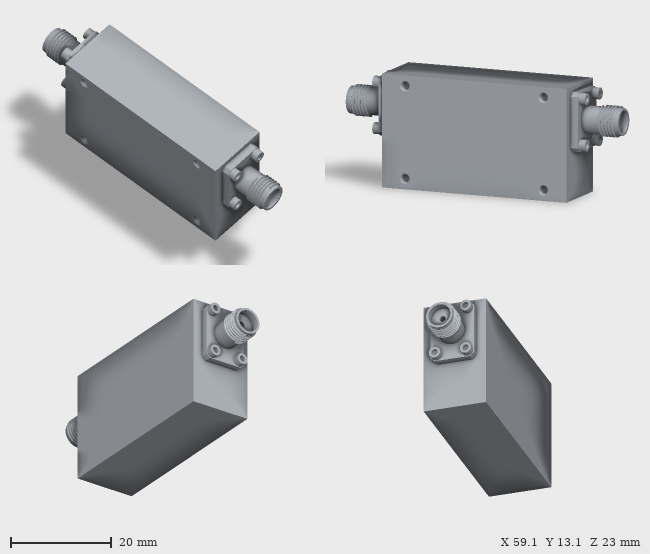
import cadquery as cq
import math

body_length = 40.0
body_depth = 13.08
body_height = 23.0

mount_spacing_x = 30.0
mount_spacing_z = 18.7
mount_diameter = 1.6
mount_mouth_diameter = 2.1
mount_depth = 5.0
drill_tip_angle = 118.0

overall_length = 59.05
connector_length = (overall_length - body_length) / 2
connector_drop = 7.1
barrel_diameter = 5.55
bore_diameter = 4.6
bore_depth = 2.0
contact_diameter = 1.27
contact_depth = 2.5

flange_width = 9.1
flange_height = 12.0
flange_thickness = 1.65
flange_chamfer = 0.8
screw_spacing_y = 6.5
screw_spacing_z = 9.4
screw_head_diameter = 2.35
screw_head_height = 1.4
socket_diameter = 1.3
socket_depth = 0.8

thread_diameter = 6.35
thread_root_diameter = 5.65
thread_pitch = 25.4 / 36
thread_turns = 5
thread_base_width = 0.55
thread_crest_width = 0.1
thread_root_margin = 0.17
thread_tip_gap = 0.86
thread_overlap = 0.1


def make_housing():
    block = cq.Workplane("XY").box(body_length, body_depth, body_height)
    return block.cut(make_mounting_holes())


def make_mounting_holes():
    """Four blind holes, each with a 45 degree mouth and a conical bottom."""
    radius = mount_diameter / 2
    mouth_radius = mount_mouth_diameter / 2
    tip_length = radius / math.tan(math.radians(drill_tip_angle / 2))
    drill = (
        cq.Workplane("XY")
        .lineTo(mouth_radius, 0)
        .lineTo(radius, mouth_radius - radius)
        .lineTo(radius, mount_depth)
        .lineTo(0, mount_depth + tip_length)
        .close()
        .revolve(360, (0, 0, 0), (0, 1, 0))
        .translate((0, -body_depth / 2, 0))
    )
    holes = cq.Workplane("XY")
    for x in (-mount_spacing_x / 2, mount_spacing_x / 2):
        for z in (-mount_spacing_z / 2, mount_spacing_z / 2):
            holes = holes.add(drill.translate((x, 0, z)))
    return holes.combine()


def make_flange():
    """Chamfered plate with four socket head screws, facing local +Z."""
    plate = (
        cq.Workplane("XY")
        .rect(flange_height, flange_width)
        .extrude(flange_thickness)
        .edges("|Z")
        .chamfer(flange_chamfer)
    )
    head_top = flange_thickness + screw_head_height
    heads = (
        cq.Workplane("XY", origin=(0, 0, flange_thickness))
        .rect(screw_spacing_z, screw_spacing_y, forConstruction=True)
        .vertices()
        .circle(screw_head_diameter / 2)
        .extrude(screw_head_height)
    )
    sockets = (
        cq.Workplane("XY", origin=(0, 0, head_top))
        .rect(screw_spacing_z, screw_spacing_y, forConstruction=True)
        .vertices()
        .circle(socket_diameter / 2)
        .extrude(-socket_depth)
    )
    return plate.union(heads).cut(sockets)


def make_thread():
    """Right-hand helical ridge of trapezoidal section on a root cylinder along local Z."""
    base_radius = thread_root_diameter / 2 - thread_overlap
    thread_length = thread_turns * thread_pitch
    start = connector_length - thread_tip_gap - thread_length
    helix = cq.Wire.makeHelix(thread_pitch, thread_length, base_radius)
    ridge = (
        cq.Workplane("XZ")
        .moveTo(base_radius, -thread_base_width / 2)
        .lineTo(thread_diameter / 2, -thread_crest_width / 2)
        .lineTo(thread_diameter / 2, thread_crest_width / 2)
        .lineTo(base_radius, thread_base_width / 2)
        .close()
        .sweep(cq.Workplane(helix), isFrenet=True)
    )
    ridge = ridge.rotate((0, 0, 0), (0, 0, 1), 180).translate((0, 0, start))
    root = (
        cq.Workplane("XY", origin=(0, 0, start - thread_root_margin))
        .circle(thread_root_diameter / 2)
        .extrude(thread_length + 2 * thread_root_margin)
    )
    return root.union(ridge)


def make_connector():
    """Complete connector along local +Z; local +X is the long side of the flange."""
    barrel = cq.Workplane("XY").circle(barrel_diameter / 2).extrude(connector_length)
    barrel = barrel.union(make_thread())
    bore = (
        cq.Workplane("XY", origin=(0, 0, connector_length))
        .circle(bore_diameter / 2)
        .extrude(-bore_depth)
    )
    contact_hole = (
        cq.Workplane("XY", origin=(0, 0, connector_length - bore_depth))
        .circle(contact_diameter / 2)
        .extrude(-contact_depth)
    )
    return make_flange().union(barrel).cut(bore).cut(contact_hole)


def place_connector(connector, side):
    """Turn the connector to point along X on the given side (-1 or +1)."""
    axis_z = body_height / 2 - connector_drop
    turned = connector.rotate((0, 0, 0), (0, 1, 0), side * 90)
    return turned.translate((side * body_length / 2, 0, axis_z))


result = make_housing()
connector = make_connector()
for side in (-1, 1):
    result = result.union(place_connector(connector, side))